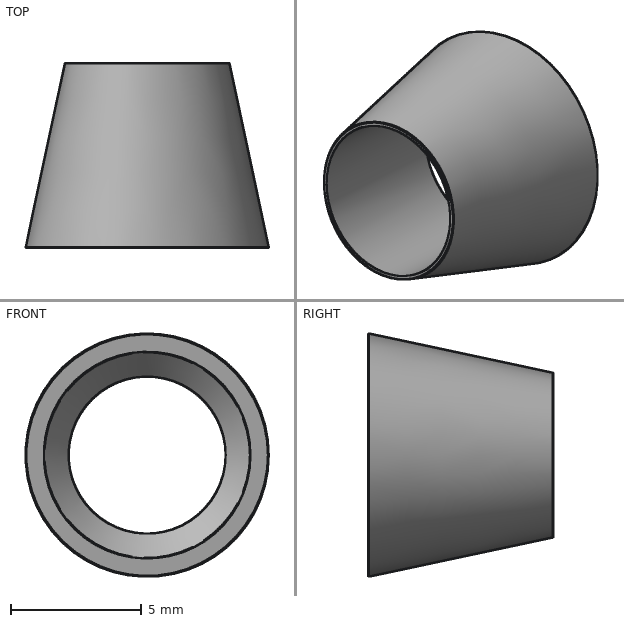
import cadquery as cq

length = 7.1
wide_diameter = 9.33
narrow_diameter = 6.33
bore_diameter = 6.01
mouth_diameter = 7.93

wide_rim_bevel = 0.04
narrow_rim_bevel = 0.03
mouth_bevel_width = 0.03
mouth_bevel_depth = mouth_bevel_width / 2

wide_end = -length / 2
narrow_end = length / 2
wide_radius = wide_diameter / 2
narrow_radius = narrow_diameter / 2
bore_radius = bore_diameter / 2
mouth_radius = mouth_diameter / 2

countersink_radius = mouth_radius - mouth_bevel_width
countersink_start = wide_end + mouth_bevel_depth
countersink_depth = countersink_radius - bore_radius

half_section = (
    cq.Workplane("XY")
    .moveTo(wide_radius - wide_rim_bevel, wide_end)
    .lineTo(wide_radius, wide_end + wide_rim_bevel)
    .lineTo(narrow_radius, narrow_end - narrow_rim_bevel)
    .lineTo(narrow_radius - narrow_rim_bevel, narrow_end)
    .lineTo(bore_radius, narrow_end)
    .lineTo(bore_radius, countersink_start + countersink_depth)
    .lineTo(countersink_radius, countersink_start)
    .lineTo(mouth_radius, wide_end)
    .close()
)

result = half_section.revolve(360, (0, 0, 0), (0, 1, 0))